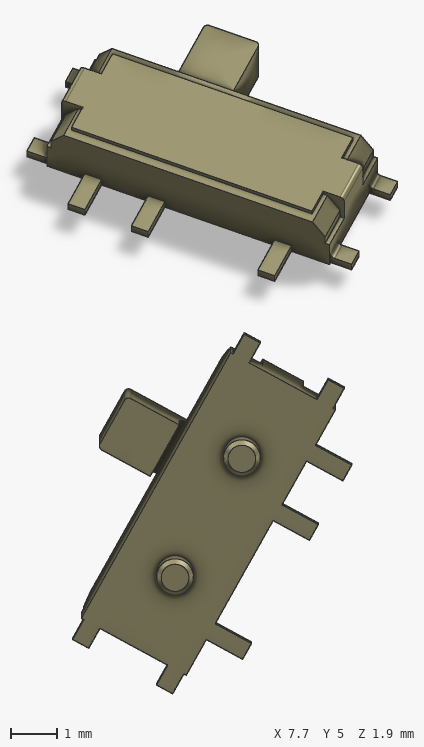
import cadquery as cq

BODY_LENGTH = 6.7
BODY_WIDTH = 2.6
TOTAL_HEIGHT = 1.4
COVER_RISE = 0.1
SHOULDER_HEIGHT = TOTAL_HEIGHT - COVER_RISE

TAB_WIDTH = 1.0
TAB_EDGE_RADIUS = 0.1
CORNER_STEP_DEPTH = 0.1
CORNER_STEP_HEIGHT = 0.7
SLOPE_START_HEIGHT = 0.93
SLOPE_TOP_INSET = 0.4

COVER_LENGTH = 5.7
COVER_WIDTH = 2.2

PEG_DIAMETER = 0.8
PEG_LENGTH = 0.5
PEG_CHAMFER = 0.1
PEG_SPACING = 3.0

STRIP_WIDTH = 0.4
STRIP_THICKNESS = 0.2
TERMINAL_LENGTH = 0.9
TERMINAL_PITCH = 1.5
TERMINAL_PITCH_OFFSETS = (-1.5, -0.5, 1.5)
LEG_LENGTH = 0.5
LEG_SPACING = 2.08
LEG_ROOT_RADIUS = 0.1

KNOB_WIDTH = 1.3
KNOB_REACH = 1.5
KNOB_CENTER_X = -0.75
KNOB_BOTTOM = 0.1
KNOB_TOP = 1.2
KNOB_EDGE_RADIUS = 0.1
KNOB_GAP = 0.2
KNOB_ARM_BOTTOM = 0.9
KNOB_CURVE_START = 0.48

HALF_LENGTH = BODY_LENGTH / 2
HALF_WIDTH = BODY_WIDTH / 2


def block(x_size, y_size, z_min, z_max):
    """Box centred on X and Y between two heights."""
    box = cq.Workplane("XY").box(x_size, y_size, z_max - z_min, centered=(True, True, False))
    return box.translate((0, 0, z_min))


def make_housing():
    """Stepped, sloped-shoulder housing with a full-height rounded tab along its middle."""
    step_x = HALF_LENGTH - CORNER_STEP_DEPTH
    slope_x = HALF_LENGTH - SLOPE_TOP_INSET
    shoulders = (
        cq.Workplane("XZ")
        .polyline([
            (-HALF_LENGTH, 0),
            (HALF_LENGTH, 0),
            (HALF_LENGTH, CORNER_STEP_HEIGHT),
            (step_x, CORNER_STEP_HEIGHT),
            (step_x, SLOPE_START_HEIGHT),
            (slope_x, SHOULDER_HEIGHT),
            (-slope_x, SHOULDER_HEIGHT),
            (-step_x, SLOPE_START_HEIGHT),
            (-step_x, CORNER_STEP_HEIGHT),
            (-HALF_LENGTH, CORNER_STEP_HEIGHT),
        ])
        .close()
        .extrude(HALF_WIDTH, both=True)
    )
    tab = block(BODY_LENGTH, TAB_WIDTH, 0, TOTAL_HEIGHT)
    tab = tab.faces(">Z").edges("|Y").fillet(TAB_EDGE_RADIUS)
    cover = block(COVER_LENGTH, COVER_WIDTH, 0, TOTAL_HEIGHT)
    return shoulders.union(tab).union(cover)


def make_peg(x_center):
    """Round peg below the housing with a chamfered tip."""
    peg = cq.Workplane("XY").center(x_center, 0).circle(PEG_DIAMETER / 2).extrude(-PEG_LENGTH)
    return peg.faces("<Z").chamfer(PEG_CHAMFER)


def make_terminal(x_center):
    """Flat terminal leaving the -Y side of the housing."""
    terminal = block(STRIP_WIDTH, TERMINAL_LENGTH, 0, STRIP_THICKNESS)
    return terminal.translate((x_center, -HALF_WIDTH - TERMINAL_LENGTH / 2, 0))


def make_leg(side, y_center):
    """Mounting leg at one end, blended into the end wall; side is -1 or +1 along X."""
    wall_x = side * HALF_LENGTH
    tip_x = side * (HALF_LENGTH + LEG_LENGTH)
    root_x = side * (HALF_LENGTH + LEG_ROOT_RADIUS)
    root_top = STRIP_THICKNESS + LEG_ROOT_RADIUS
    leg = (
        cq.Workplane("XZ")
        .moveTo(wall_x, 0)
        .lineTo(tip_x, 0)
        .lineTo(tip_x, STRIP_THICKNESS)
        .lineTo(root_x, STRIP_THICKNESS)
        .radiusArc((wall_x, root_top), side * LEG_ROOT_RADIUS)
        .close()
        .extrude(STRIP_WIDTH / 2, both=True)
    )
    return leg.translate((0, y_center, 0))


def make_knob():
    """Slider knob on the +Y side, hanging from an arm with a quarter-ellipse underside."""
    tip_y = HALF_WIDTH + KNOB_REACH
    inner_y = HALF_WIDTH + KNOB_GAP
    knob = (
        cq.Workplane("YZ")
        .moveTo(HALF_WIDTH, KNOB_TOP)
        .lineTo(tip_y, KNOB_TOP)
        .lineTo(tip_y, KNOB_BOTTOM)
        .lineTo(inner_y, KNOB_BOTTOM)
        .lineTo(inner_y, KNOB_CURVE_START)
        .ellipseArc(KNOB_GAP, KNOB_ARM_BOTTOM - KNOB_CURVE_START, 0, 90)
        .close()
        .extrude(KNOB_WIDTH / 2, both=True)
    )
    knob = knob.faces(">Y").edges("|Z").fillet(KNOB_EDGE_RADIUS)
    return knob.translate((KNOB_CENTER_X, 0, 0))


result = make_housing().union(make_knob())

for peg_side in (-1, 1):
    result = result.union(make_peg(peg_side * PEG_SPACING / 2))

for pitch_offset in TERMINAL_PITCH_OFFSETS:
    result = result.union(make_terminal(pitch_offset * TERMINAL_PITCH))

for end_side in (-1, 1):
    for row_side in (-1, 1):
        result = result.union(make_leg(end_side, row_side * LEG_SPACING / 2))